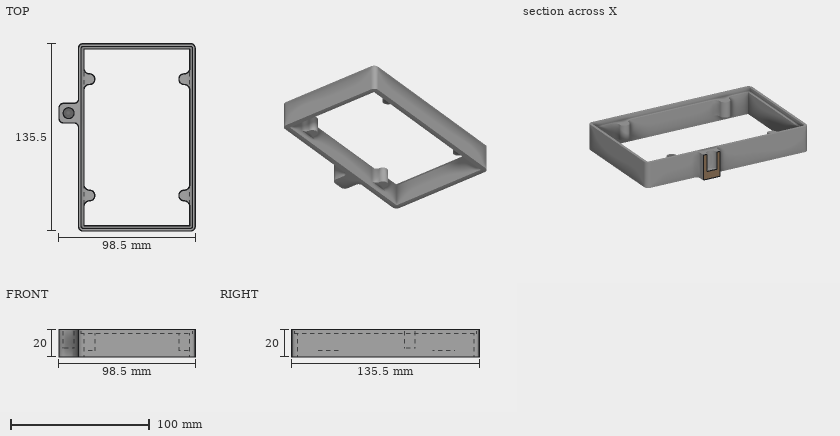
import cadquery as cq

overall_width = 98.5
length = 135.5
height = 20.0
tab_reach = 14.1
frame_width = overall_width - tab_reach
wall = 4.0
corner_radius = 3.5

rim = 2.0
rebate_depth = 3.0
rebate_corner_radius = 1.4
shelf_z = height - rebate_depth

tab_width = 14.4
tab_y = 17.5
tab_corner_radius = 3.5
tab_root_radius = 3.0
hole_diameter = 7.9
hole_depth = 13.5

lug_radius = 3.9
lug_y = 42.0
lug_height = 12.0
lug_bottom = shelf_z - lug_height

inner_width = frame_width - 2 * wall
inner_length = length - 2 * wall


def block(width, depth, bottom, top):
    """Centred rectangular block between two heights."""
    return (
        cq.Workplane("XY")
        .workplane(offset=bottom)
        .rect(width, depth)
        .extrude(top - bottom)
    )


def frame_with_tab():
    """Solid outline of the frame and its tab, with rounded upright edges."""
    frame = block(frame_width, length, 0, height).edges("|Z").fillet(corner_radius)
    wall_x = -frame_width / 2
    tab = (
        block(tab_reach + wall, tab_width, 0, height)
        .edges("|Z and <X")
        .fillet(tab_corner_radius)
        .translate((wall_x - (tab_reach - wall) / 2, tab_y, 0))
    )
    root_edges = cq.selectors.BoxSelector(
        (wall_x - 0.1, tab_y - tab_width, -1.4),
        (wall_x + 0.1, tab_y + tab_width, height + 1.4),
    )
    body = frame.union(tab)
    return body.edges("|Z").edges(root_edges).fillet(tab_root_radius)


def lug(side, y):
    """Lug with a round tip and concave flares where it meets the wall."""
    wall_x = side * inner_width / 2
    buried_x = wall_x + side * wall / 2
    centre_x = wall_x - side * lug_radius
    tip_x = centre_x - side * lug_radius
    flare = 2 * lug_radius
    diagonal = lug_radius * 0.5 ** 0.5
    flare_mid_x = centre_x + side * diagonal
    flare_mid_y = flare - diagonal
    return (
        cq.Workplane("XY")
        .workplane(offset=lug_bottom)
        .moveTo(buried_x, y - flare)
        .lineTo(wall_x, y - flare)
        .threePointArc((flare_mid_x, y - flare_mid_y), (centre_x, y - lug_radius))
        .threePointArc((tip_x, y), (centre_x, y + lug_radius))
        .threePointArc((flare_mid_x, y + flare_mid_y), (wall_x, y + flare))
        .lineTo(buried_x, y + flare)
        .close()
        .extrude(lug_height)
    )


body = frame_with_tab()
body = body.cut(block(inner_width, inner_length, 0, height))

for side in (-1, 1):
    for y in (-lug_y, lug_y):
        body = body.union(lug(side, y))

rebate = block(frame_width - 2 * rim, length - 2 * rim, shelf_z, height)
body = body.cut(rebate.edges("|Z").fillet(rebate_corner_radius))

hole = (
    cq.Workplane("XY")
    .workplane(offset=height - hole_depth)
    .center(-(frame_width + tab_reach) / 2, tab_y)
    .circle(hole_diameter / 2)
    .extrude(hole_depth)
)
result = body.cut(hole).translate((tab_reach / 2, 0, 0))